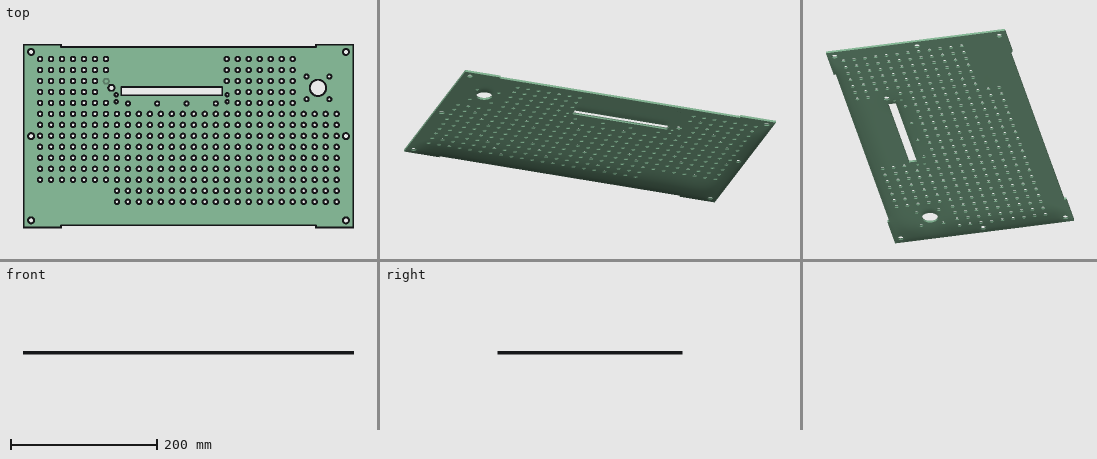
import cadquery as cq

LENGTH = 450.0
WIDTH = 250.0
THICKNESS = 3.0
TAB_LENGTH = 51.0
EDGE_RELIEF = 3.0

MOUNT_DIAMETER = 8.0
MOUNT_INSET = 10.0

GRID_DIAMETER = 6.0
GRID_PITCH = 15.0
GRID_COLUMNS = 28
GRID_LEFT = -202.72
GRID_TOP = 105.32
LEFT_BLOCK = list(range(0, 7))
SHORT_LEFT_BLOCK = list(range(0, 6))
RIGHT_BLOCK = list(range(17, 24))
SHORT_RIGHT_BLOCK = list(range(18, 24))
FULL_ROW = list(range(GRID_COLUMNS))
FULL_ROW_COUNT = 7
BOTTOM_ROW = list(range(7, GRID_COLUMNS))
BOTTOM_ROW_COUNT = 2

SLOT_X = -23.0
SLOT_Y = 61.5
SLOT_LENGTH = 137.5
SLOT_WIDTH = 11.0
END_HOLE_DIAMETER = 4.4
END_HOLE_SPACING = 151.5
END_HOLE_ROWS = (56.5, 47.0)
ROW_HOLE_DIAMETER = 5.5
ROW_HOLE_COUNT = 4
ROW_HOLE_PITCH = 40.0
ROW_HOLE_LEFT = -82.7
ROW_HOLE_Y = 44.55

HEX_SIDES = 6
HEX_CORNER_DIAMETER = 9.0
HEX_HOLE_CENTER = (-105.25, 65.9)
PLUG_CORE_DIAMETER = GRID_DIAMETER
PLUG_COLUMN = 6
PLUG_ROW = 2

MOTOR_CENTER = (176.8, 65.9)
MOTOR_BORE = 22.0
MOTOR_SCREW_DIAMETER = 5.5
MOTOR_SCREW_SPACING = 31.0


def grid_point(column, row):
    return (GRID_LEFT + column * GRID_PITCH, GRID_TOP - row * GRID_PITCH)


def grid_points():
    """Grid positions, leaving clear the slot, motor and lower left areas."""
    rows = [
        LEFT_BLOCK + RIGHT_BLOCK,
        LEFT_BLOCK + RIGHT_BLOCK,
        SHORT_LEFT_BLOCK + RIGHT_BLOCK,
        SHORT_LEFT_BLOCK + SHORT_RIGHT_BLOCK,
        LEFT_BLOCK + SHORT_RIGHT_BLOCK,
    ]
    rows += [FULL_ROW] * FULL_ROW_COUNT
    rows += [BOTTOM_ROW] * BOTTOM_ROW_COUNT
    return [grid_point(column, row) for row, columns in enumerate(rows) for column in columns]


def make_plate():
    waist_width = WIDTH - 2 * EDGE_RELIEF
    waist = cq.Workplane("XY").rect(LENGTH, waist_width).extrude(THICKNESS)
    tab_x = (LENGTH - TAB_LENGTH) / 2
    tabs = (
        cq.Workplane("XY")
        .pushPoints([(-tab_x, 0), (tab_x, 0)])
        .rect(TAB_LENGTH, WIDTH)
        .extrude(THICKNESS)
    )
    return waist.union(tabs)


def round_prisms(points, diameter):
    return cq.Workplane("XY").pushPoints(points).circle(diameter / 2).extrude(THICKNESS)


def mount_points():
    x = LENGTH / 2 - MOUNT_INSET
    y = WIDTH / 2 - MOUNT_INSET
    return [(side * x, row * y) for side in (-1, 1) for row in (-1, 0, 1)]


def slot_end_points():
    half = END_HOLE_SPACING / 2
    return [(SLOT_X + side * half, y) for side in (-1, 1) for y in END_HOLE_ROWS]


def slot_row_points():
    return [(ROW_HOLE_LEFT + i * ROW_HOLE_PITCH, ROW_HOLE_Y) for i in range(ROW_HOLE_COUNT)]


def motor_screw_points():
    x, y = MOTOR_CENTER
    half = MOTOR_SCREW_SPACING / 2
    return [(x + i * half, y + j * half) for i in (-1, 1) for j in (-1, 1)]


def slot_cutter():
    return cq.Workplane("XY").center(SLOT_X, SLOT_Y).rect(SLOT_LENGTH, SLOT_WIDTH).extrude(THICKNESS)


def hex_prism(center):
    return cq.Workplane("XY").center(*center).polygon(HEX_SIDES, HEX_CORNER_DIAMETER).extrude(THICKNESS)


def add_flush_plug(plate):
    """Fill a hexagonal seat with a hexagonal ring and a round core, keeping the flush joints as edges."""
    center = grid_point(PLUG_COLUMN, PLUG_ROW)
    seat = hex_prism(center)
    core = round_prisms([center], PLUG_CORE_DIAMETER)
    ring = seat.cut(core)
    return plate.cut(seat).union(ring, clean=False).union(core, clean=False)


hole_groups = [
    (mount_points(), MOUNT_DIAMETER),
    (grid_points(), GRID_DIAMETER),
    (slot_end_points(), END_HOLE_DIAMETER),
    (slot_row_points(), ROW_HOLE_DIAMETER),
    ([MOTOR_CENTER], MOTOR_BORE),
    (motor_screw_points(), MOTOR_SCREW_DIAMETER),
]

result = make_plate()
for points, diameter in hole_groups:
    result = result.cut(round_prisms(points, diameter))
result = result.cut(slot_cutter())
result = result.cut(hex_prism(HEX_HOLE_CENTER))
result = add_flush_plug(result).solids()